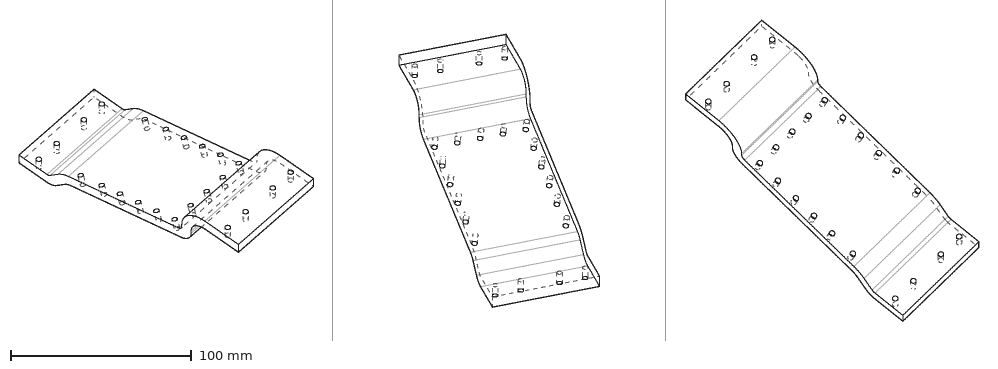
import cadquery as cq
import math

length = 162.4
width = 62.5
thickness = 7.0

valley_radius = 3.1
crest_radius = valley_radius + 2 * thickness
ramp_angle = 45.0
deck_angle = 15.0
wall_angle = 90.0

lower_flat = 20.8
ramp_length = 8.5
deck_length = 84.5
wall_height = 2.0

hole_diameter = 3.1
hole_edge_margin = 5.0
end_hole_pitch = 15.0
lower_hole_inset = 10.2
upper_hole_inset = 12.5
deck_hole_spacing_y = 13.3
deck_hole_spacing = 14.0
deck_first_gap = 16.0
deck_last_inset = 7.0
deck_side_count = 5
cutter_clearance = 0.8


def direction(angle):
    """Unit vector along a stretch that climbs at the given angle."""
    return math.cos(math.radians(angle)), math.sin(math.radians(angle))


def advance(point, angle, distance):
    dx, dz = direction(angle)
    return point[0] + dx * distance, point[1] + dz * distance


def bend(start, start_angle, end_angle, top_radius):
    """Return (top, bottom) triples of start, middle and end points of a bend."""
    turn = 1 if end_angle > start_angle else -1
    bottom_radius = top_radius + turn * thickness
    center = advance(start, start_angle + 90, turn * top_radius)
    angles = (start_angle, (start_angle + end_angle) / 2, end_angle)
    top = [advance(center, a - 90, turn * top_radius) for a in angles]
    bottom = [advance(center, a - 90, turn * bottom_radius) for a in angles]
    return top, bottom


bends = []
position = (0.0, thickness)
heading = 0.0
for straight, new_heading, radius in (
    (lower_flat, ramp_angle, valley_radius),
    (ramp_length, deck_angle, crest_radius),
    (deck_length, wall_angle, valley_radius),
    (wall_height, 0.0, crest_radius),
):
    position = advance(position, heading, straight)
    bends.append(bend(position, heading, new_heading, radius))
    position = bends[-1][0][-1]
    heading = new_heading
top_height = position[1]


def make_strip():
    """Closed side profile extruded symmetrically across the width."""
    profile = cq.Workplane("XZ").moveTo(0, thickness)
    for top, _ in bends:
        start, middle, end = top
        profile = profile.lineTo(*start).threePointArc(middle, end)
    profile = profile.lineTo(length, top_height).lineTo(length, top_height - thickness)
    for _, bottom in reversed(bends):
        start, middle, end = bottom
        profile = profile.lineTo(*end).threePointArc(middle, start)
    return profile.lineTo(0, 0).close().extrude(width / 2, both=True)


def hole_cutter(surface_point, y, angle):
    """Through-hole cylinder normal to a stretch of the strip."""
    x, z = advance(surface_point, angle + 90, cutter_clearance)
    nx, nz = direction(angle - 90)
    depth = thickness + 2 * cutter_clearance
    return cq.Solid.makeCylinder(hole_diameter / 2, depth, cq.Vector(x, y, z), cq.Vector(nx, 0, nz))


outer_y = width / 2 - hole_edge_margin
end_hole_ys = (-outer_y, -outer_y + end_hole_pitch, outer_y - end_hole_pitch, outer_y)
cutters = []
for y in end_hole_ys:
    cutters.append(hole_cutter((lower_hole_inset, thickness), y, 0))
    cutters.append(hole_cutter((length - upper_hole_inset, top_height), y, 0))

deck_end = bends[2][0][0]
column_ys = [outer_y - i * deck_hole_spacing_y for i in range(deck_side_count)]
side_distances = [deck_last_inset + i * deck_hole_spacing for i in range(deck_side_count)]
side_distances.append(side_distances[-1] + deck_first_gap)
for y in column_ys:
    cutters.append(hole_cutter(advance(deck_end, deck_angle, -deck_last_inset), y, deck_angle))
for distance in side_distances[1:]:
    for y in (column_ys[0], column_ys[-1]):
        cutters.append(hole_cutter(advance(deck_end, deck_angle, -distance), y, deck_angle))

result = make_strip()
for cutter in cutters:
    result = result.cut(cq.Workplane(obj=cutter))